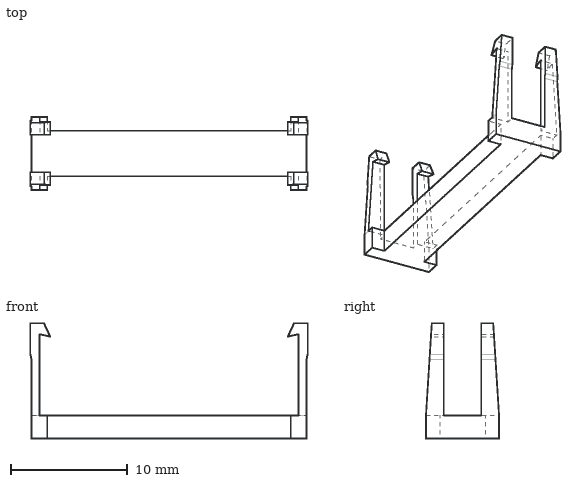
import cadquery as cq

length = 23.82
width = 6.3
height = 9.9

base_height = 2.0
bar_width = 3.9
block_length = 1.38
tip_overhang = 0.1
base_length = length - 2 * tip_overhang

arm_gap = 3.2
arm_top_width = 5.29
arm_inner_depth = 0.8
step_top_drop = 2.65
step_bottom_drop = 3.07

hook_top_depth = 1.2
hook_tip_depth = 1.75
hook_tip_drop = 1.17
hook_root_drop = 0.95


def make_base():
    """Bar and end blocks, standing on Z = 0."""
    base = cq.Workplane("XY").box(base_length, bar_width, base_height, centered=(True, True, False))
    block_center = (base_length - block_length) / 2
    for side in (-1, 1):
        block = cq.Workplane("XY").box(block_length, width, base_height, centered=(True, True, False))
        base = base.union(block.translate((side * block_center, 0, 0)))
    return base


def make_left_arms():
    """Hooked XZ profile, trimmed to the tapered YZ outline and split by the central gap."""
    end = -length / 2
    foot = end + tip_overhang
    arm_inner = end + arm_inner_depth
    profile = [
        (foot, 0),
        (foot, height - step_bottom_drop),
        (end, height - step_top_drop),
        (end, height),
        (end + hook_top_depth, height),
        (end + hook_tip_depth, height - hook_tip_drop),
        (arm_inner, height - hook_root_drop),
        (arm_inner, 0),
    ]
    hooked = cq.Workplane("XZ").polyline(profile).close().extrude(width / 2, both=True)

    taper = [
        (-width / 2, 0),
        (width / 2, 0),
        (width / 2, base_height),
        (arm_top_width / 2, height),
        (-arm_top_width / 2, height),
        (-width / 2, base_height),
    ]
    envelope = cq.Workplane("YZ").polyline(taper).close().extrude(length / 2, both=True)

    gap_height = height - base_height
    gap = cq.Workplane("XY").box(length, arm_gap, gap_height, centered=(True, True, False))
    gap = gap.translate((end, 0, base_height))
    return hooked.intersect(envelope).cut(gap)


left_arms = make_left_arms()
right_arms = left_arms.mirror("YZ")
result = make_base().union(left_arms).union(right_arms)